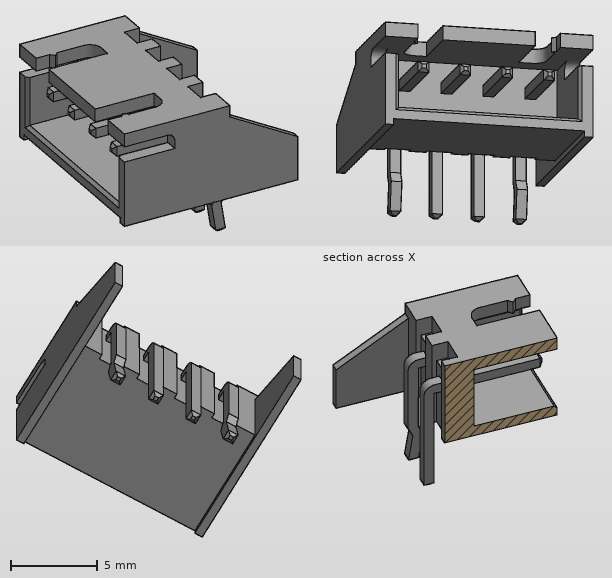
import cadquery as cq


pin_count = 4
pitch = 2.5
pin_size = 0.64
pin_axis_z = 3.75
pin_tail_y = 7.6
pin_front_y = 0.5
pin_bottom_z = -3.4
pin_tip_taper = 0.2
bend_radius = 0.68
kink_offset = 0.3
kink_start_z = -0.9
kink_peak_z = -1.5

width = 12.4
height = 6.1
shroud_depth = 7.0
wall = 0.85
roof = 0.85
floor_bottom_z = 0.35
floor_top_z = 1.1
cavity_depth = 5.15
mouth_chamfer = 0.2

plate_depth = 11.5
plate_thickness = 0.5
plate_back_height = 2.85
plate_shoulder_z = 5.35

side_slot_depth = 3.35
side_slot_height = 1.0
side_slot_radius = 0.5

roof_slot_depth = 3.9
roof_slot_inner_x = 2.75
roof_slot_outer_x = 4.25
roof_slot_radius = 0.75
bump_y = 1.15
bump_size = 0.25

notch_width = 1.5
notch_depth = 1.0
notch_height = 1.2
groove_depth = 0.3

pin_positions = [(i - (pin_count - 1) / 2) * pitch for i in range(pin_count)]
cavity_top_z = height - roof


def box(x0, x1, y0, y1, z0, z1):
    return cq.Workplane("XY").box(x1 - x0, y1 - y0, z1 - z0, centered=False).translate((x0, y0, z0))


def mirrored(shape):
    """Return the shape together with its mirror image about X = 0."""
    return shape.union(shape.mirror("YZ"))


def make_side_plates():
    plate = (
        cq.Workplane("YZ", origin=(-width / 2, 0, 0))
        .moveTo(0, 0)
        .lineTo(plate_depth, 0)
        .lineTo(plate_depth, plate_back_height)
        .lineTo(shroud_depth, plate_shoulder_z)
        .lineTo(shroud_depth, height)
        .lineTo(0, height)
        .close()
        .extrude(plate_thickness)
    )
    return mirrored(plate)


def make_cavity():
    half = width / 2 - wall
    mouth_half = half + mouth_chamfer
    mouth_bottom_z = floor_top_z - mouth_chamfer
    cavity = box(-half, half, 0, cavity_depth, floor_top_z, cavity_top_z)
    flare = (
        cq.Workplane("XZ")
        .center(0, (mouth_bottom_z + cavity_top_z) / 2)
        .rect(2 * mouth_half, cavity_top_z - mouth_bottom_z)
        .workplane(offset=-mouth_chamfer)
        .center(0, (floor_top_z - mouth_bottom_z) / 2)
        .rect(2 * half, cavity_top_z - floor_top_z)
        .loft(ruled=True)
    )
    return cavity.union(flare)


def make_side_slots():
    slot = box(-width / 2, -width / 2 + wall + mouth_chamfer, 0, side_slot_depth,
               cavity_top_z - side_slot_height, cavity_top_z)
    return mirrored(slot.edges("|X and >Y and >Z").fillet(side_slot_radius))


def make_roof_slots():
    slot = box(-roof_slot_outer_x, -roof_slot_inner_x, 0, roof_slot_depth, cavity_top_z, height)
    slot = slot.edges("|Z and <X and >Y").fillet(roof_slot_radius)
    bump = (
        cq.Workplane("XY", origin=(-roof_slot_outer_x, bump_y, cavity_top_z))
        .moveTo(0, -bump_size)
        .lineTo(bump_size, 0)
        .lineTo(0, bump_size)
        .close()
        .extrude(roof)
    )
    return mirrored(slot.cut(bump))


def make_rear_notch(x):
    """Build the cut behind one contact: a deep notch at the top over a shallow full-height groove."""
    x0 = x - notch_width / 2
    x1 = x + notch_width / 2
    notch = box(x0, x1, shroud_depth - notch_depth, shroud_depth, height - notch_height, height)
    groove = box(x0, x1, shroud_depth - groove_depth, shroud_depth, floor_bottom_z, height)
    return notch.union(groove)


def make_housing():
    housing = box(-width / 2, width / 2, 0, shroud_depth, floor_bottom_z, height)
    housing = housing.union(make_side_plates())
    housing = housing.cut(make_cavity()).cut(make_side_slots()).cut(make_roof_slots())
    for x in pin_positions:
        housing = housing.cut(make_rear_notch(x))
    return housing


def make_pin(x, kinked):
    """Build one contact with its plane of symmetry at x; a kinked tail bulges forwards."""
    half = pin_size / 2
    front_y = pin_tail_y - half
    back_y = pin_tail_y + half
    top_z = pin_axis_z + half
    profile = (
        cq.Workplane("YZ", origin=(x - half, 0, 0))
        .moveTo(pin_front_y, top_z)
        .lineTo(back_y - bend_radius, top_z)
        .radiusArc((back_y, top_z - bend_radius), bend_radius)
    )
    if kinked:
        profile = profile.lineTo(back_y, kink_start_z).lineTo(back_y - kink_offset, kink_peak_z)
    profile = profile.lineTo(back_y, pin_bottom_z).lineTo(front_y, pin_bottom_z)
    if kinked:
        profile = profile.lineTo(front_y - kink_offset, kink_peak_z).lineTo(front_y, kink_start_z)
    pin = (
        profile.lineTo(front_y, pin_axis_z - half)
        .lineTo(pin_front_y, pin_axis_z - half)
        .close()
        .extrude(pin_size)
    )
    return pin.faces("<Y or <Z").chamfer(pin_tip_taper)


result = make_housing()
for index, pin_x in enumerate(pin_positions):
    is_outer = index in (0, pin_count - 1)
    result = result.union(make_pin(pin_x, is_outer))